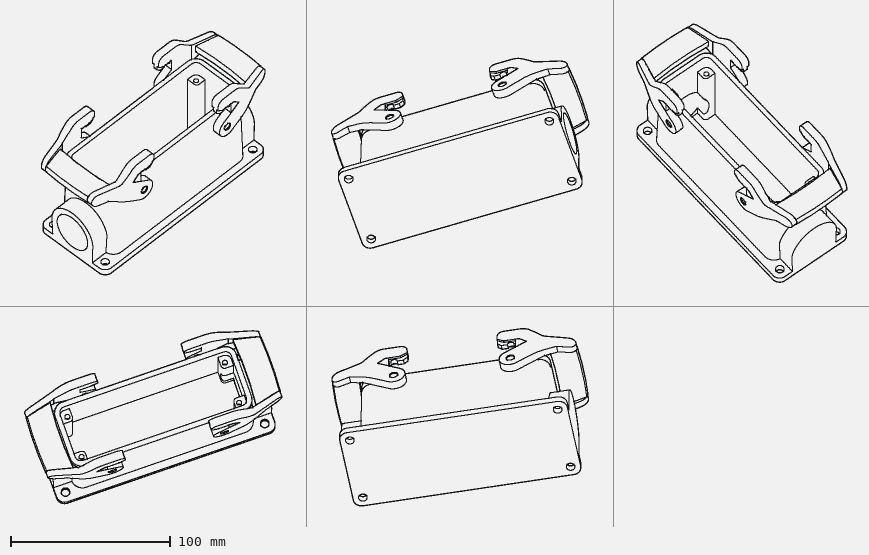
import cadquery as cq
import math

base_width = 57.5
base_length = 144.5
base_thickness = 4.9
base_corner_radius = 5.3
mount_hole_diameter = 5.3
mount_hole_x = 22.5
mount_hole_y = 66.0

housing_length = 120.0
housing_foot_width = 47.7
rim_width = 42.7
rim_bottom = 58.1
rim_top = 63.7
housing_corner_radius = 7.2
wall = 3.3

post_width = 8.0
post_length = 7.5
post_top = 52.1
post_corner_radius = 2.4
post_hole_inset = 4.5
post_hole_diameter = 3.1
post_hole_depth = 12.5

boss_radius = 17.9
boss_foot_half_width = 17.3
boss_center_z = 19.8
boss_side_top = 17.1
bore_radius = 13.3

pivot_y = 37.0
pivot_z = 54.0
eye_radius = 7.2
arm_angle = math.radians(32)
arm_thickness = 5.5
pin_radius = 1.9
pin_recess_radius = 2.7
pin_recess_depth = 0.8

lever_top = 83.0
hook_tip_y = 28.5
hook_tip_radius = 4.4
hook_tip_bottom = 75.5
hook_chamfer_end_y = 32.8
hook_underside = 72.8
hook_wall_y = 40.2

recess_corner_y = 42.7
recess_apex_y = 47.3
recess_depth = 0.2
lip_inset = 1.3
lip_bottom = 69.9
lip_chamfer_y = 31.1
lip_chamfer_top = 72.4
lip_notch_radius = 2.0

lever_bend_start = 49.0
lever_bend_end = 57.8
grip_top = 73.3
grip_bottom = 63.5
grip_round_start = 72.5
grip_end = 77.5
grip_inner_x = 18.0
grip_outer_x = 22.0
bend_inner_x = 23.0
bend_outer_x = 27.6
shoulder_start_y = 59.0
shoulder_end_y = 56.0
shoulder_end_z = 74.5
hook_back_z = 80.9
hook_back_end_y = 43.6

bar_bottom = 65.8
bar_top = 71.3
bar_inner_y = 61.5
bar_inner_half_width = 22.6
bar_outer_y = 78.5
bar_bulge = 0.8
bar_bow_radius = 235.5

half_width = base_width / 2
arm_inner_x = half_width - arm_thickness
cavity_width = rim_width - 2 * wall
cavity_length = housing_length - 2 * wall
cavity_corner_radius = housing_corner_radius - wall
post_hole_x = cavity_width / 2 - post_hole_inset
post_hole_y = cavity_length / 2 - post_hole_inset
rim_height = rim_top - rim_bottom
cavity_depth = rim_top - base_thickness
boss_length = (base_length - housing_length) / 2 + wall


def rounded_block(width, length, height, radius, bottom):
    """Upright block centred on the Z axis with rounded vertical edges."""
    block = cq.Workplane("XY").workplane(offset=bottom).rect(width, length).extrude(height)
    return block.edges("|Z").fillet(radius)


def corner_points(x, y):
    return [(x, y), (-x, y), (-x, -y), (x, -y)]


def along_x(profile, start, end):
    """Sweep a closed YZ profile from start to end along X."""
    return profile.extrude(end - start).translate((start, 0, 0))


def make_base():
    base = rounded_block(base_width, base_length, base_thickness, base_corner_radius, 0)
    holes = cq.Workplane("XY").pushPoints(corner_points(mount_hole_x, mount_hole_y))
    return base.cut(holes.circle(mount_hole_diameter / 2).extrude(base_thickness))


def make_housing():
    foot_x = housing_foot_width / 2
    neck_x = rim_width / 2
    body = (
        cq.Workplane("XZ", origin=(0, housing_length / 2, 0))
        .moveTo(-foot_x, base_thickness)
        .lineTo(foot_x, base_thickness)
        .lineTo(neck_x, rim_bottom)
        .lineTo(-neck_x, rim_bottom)
        .close()
        .extrude(housing_length)
        .faces("<Y or >Y").edges("not(|X)").fillet(housing_corner_radius)
    )
    rim = rounded_block(rim_width, housing_length, rim_height, housing_corner_radius, rim_bottom)
    return body.union(rim)


def make_cavity():
    return rounded_block(cavity_width, cavity_length, cavity_depth, cavity_corner_radius, base_thickness)


def make_posts(cavity):
    """Corner posts, trimmed to the rounded cavity corners."""
    height = post_top - base_thickness
    blocks = (
        cq.Workplane("XY").workplane(offset=base_thickness)
        .pushPoints(corner_points(cavity_width / 2, cavity_length / 2))
        .rect(2 * post_width, 2 * post_length)
        .extrude(height)
        .edges("|Z").fillet(post_corner_radius)
    )
    holes = (
        cq.Workplane("XY").workplane(offset=post_top - post_hole_depth)
        .pushPoints(corner_points(post_hole_x, post_hole_y))
        .circle(post_hole_diameter / 2)
        .extrude(post_hole_depth)
    )
    return blocks.intersect(cavity).cut(holes)


def make_front_boss():
    """Round boss on a straight foot, reaching through the end wall."""
    side_x = math.sqrt(boss_radius ** 2 - (boss_center_z - boss_side_top) ** 2)
    outline = (
        cq.Workplane("XZ", origin=(0, -base_length / 2, 0))
        .moveTo(-boss_foot_half_width, 0)
        .lineTo(-side_x, boss_side_top)
        .threePointArc((0, boss_center_z + boss_radius), (side_x, boss_side_top))
        .lineTo(boss_foot_half_width, 0)
        .close()
    )
    return outline.extrude(-boss_length)


def make_front_bore():
    """Bore through the -Y boss that also clears the two posts behind it."""
    start = cq.Workplane("XZ", origin=(0, -base_length / 2, 0)).center(0, boss_center_z)
    return start.circle(bore_radius).extrude(-(boss_length + post_length))


def arm_edge_z(y, side):
    """Height of the slanted arm edge at y; side is 1 for the upper edge, -1 for the lower."""
    return pivot_z + (y - pivot_y) * math.tan(arm_angle) + side * eye_radius / math.cos(arm_angle)


def eye_point(angle):
    return (pivot_y + eye_radius * math.cos(angle), pivot_z + eye_radius * math.sin(angle))


def make_lever_profile():
    """Side outline of eye, arm, hook and grip, without the lip under the hook."""
    upper_tangent = eye_point(arm_angle + math.pi / 2)
    eye_far_side = eye_point(arm_angle + math.pi)
    lower_tangent = eye_point(arm_angle - math.pi / 2)
    grip_foot_y = pivot_y + (
        grip_bottom - pivot_z + eye_radius / math.cos(arm_angle)
    ) / math.tan(arm_angle)
    return (
        cq.Workplane("YZ")
        .moveTo(hook_wall_y, arm_edge_z(hook_wall_y, 1))
        .lineTo(*upper_tangent)
        .threePointArc(eye_far_side, lower_tangent)
        .lineTo(grip_foot_y, grip_bottom)
        .lineTo(grip_round_start, grip_bottom)
        .threePointArc((grip_end, (grip_bottom + grip_top) / 2), (grip_round_start, grip_top))
        .lineTo(shoulder_start_y, grip_top)
        .tangentArcPoint((shoulder_end_y, shoulder_end_z), relative=False)
        .lineTo(lever_bend_start, hook_back_z)
        .tangentArcPoint((hook_back_end_y, lever_top), relative=False)
        .lineTo(hook_tip_y + hook_tip_radius, lever_top)
        .tangentArcPoint((hook_tip_y, lever_top - hook_tip_radius), relative=False)
        .lineTo(hook_tip_y, hook_tip_bottom)
        .lineTo(hook_chamfer_end_y, hook_underside)
        .lineTo(hook_wall_y, hook_underside)
        .close()
    )


def make_arm_plan():
    """Footprint of the +X arm: straight beside the housing, then turning in to the grip."""
    return (
        cq.Workplane("XY")
        .moveTo(half_width, 0)
        .lineTo(half_width, lever_bend_start)
        .tangentArcPoint((bend_outer_x, lever_bend_end), relative=False)
        .lineTo(grip_outer_x, grip_end)
        .lineTo(grip_inner_x, grip_end)
        .lineTo(bend_inner_x, lever_bend_end)
        .lineTo(arm_inner_x, lever_bend_end)
        .lineTo(arm_inner_x, 0)
        .close()
        .extrude(lever_top)
    )


def make_hook_lip():
    """Thinner lip under the hook, with a round notch above the pivot."""
    profile = (
        cq.Workplane("YZ")
        .moveTo(hook_wall_y, lip_bottom)
        .lineTo(pivot_y + lip_notch_radius, lip_bottom)
        .threePointArc((pivot_y, lip_bottom + lip_notch_radius), (pivot_y - lip_notch_radius, lip_bottom))
        .lineTo(lip_chamfer_y, lip_bottom)
        .lineTo(hook_tip_y, lip_chamfer_top)
        .lineTo(hook_tip_y, hook_tip_bottom)
        .lineTo(hook_wall_y, hook_tip_bottom)
        .close()
    )
    return along_x(profile, arm_inner_x + lip_inset, half_width - lip_inset)


def make_arm():
    arm = along_x(make_lever_profile(), 0, half_width).intersect(make_arm_plan())
    recess = (
        cq.Workplane("YZ")
        .moveTo(hook_wall_y, arm_edge_z(hook_wall_y, 1))
        .lineTo(recess_apex_y, arm_edge_z(recess_apex_y, 1))
        .lineTo(recess_corner_y, hook_underside)
        .lineTo(hook_wall_y, hook_underside)
        .close()
    )
    pin_recess = cq.Workplane("YZ").center(pivot_y, pivot_z).circle(pin_recess_radius)
    pin = cq.Workplane("YZ").center(pivot_y, pivot_z).circle(pin_radius)
    return (
        arm.union(make_hook_lip())
        .cut(along_x(recess, half_width - recess_depth, half_width))
        .union(along_x(pin, rim_width / 2 - wall / 2, half_width - arm_thickness / 2))
        .cut(along_x(pin_recess, half_width - pin_recess_depth, half_width))
    )


def make_grip_bar():
    """Bar between the two arms, bowed along its length, with a crowned outer face."""
    crown_start_y = bar_outer_y - bar_bulge
    bow_center_y = bar_outer_y - bar_bow_radius
    bow_half_angle = math.degrees(math.asin(half_width / bar_bow_radius))
    ring_section = (
        cq.Workplane("YZ")
        .moveTo(bar_inner_y, bar_bottom)
        .lineTo(crown_start_y, bar_bottom)
        .threePointArc((bar_outer_y, (bar_bottom + bar_top) / 2), (crown_start_y, bar_top))
        .lineTo(bar_inner_y, bar_top)
        .close()
    )
    bow_axis = ((bow_center_y, 0), (bow_center_y, 1))
    bowed_bar = ring_section.revolve(2 * bow_half_angle, *bow_axis)
    bowed_bar = bowed_bar.rotate((0, bow_center_y, 0), (0, bow_center_y, 1), -bow_half_angle)
    span = (
        cq.Workplane("XY")
        .moveTo(-bar_inner_half_width, lever_bend_end)
        .lineTo(bar_inner_half_width, lever_bend_end)
        .lineTo(grip_inner_x, bar_outer_y)
        .lineTo(-grip_inner_x, bar_outer_y)
        .close()
        .extrude(lever_top)
    )
    return bowed_bar.intersect(span)


def make_lever():
    arm = make_arm()
    return arm.union(arm.mirror("YZ")).union(make_grip_bar())


cavity = make_cavity()
posts = make_posts(cavity)
boss = make_front_boss()
lever = make_lever()

result = (
    make_base()
    .union(make_housing())
    .union(boss)
    .union(boss.mirror("XZ"))
    .cut(cavity)
    .union(posts)
    .cut(make_front_bore())
    .union(lever)
    .union(lever.mirror("XZ"))
)